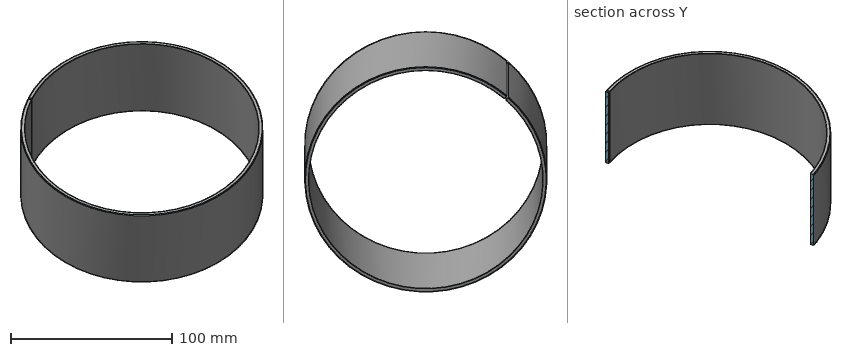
import cadquery as cq

OUTER_DIAMETER = 150.0
WALL_THICKNESS = 2.5
LENGTH = 60.0
OUTER_CHAMFER = 0.5
INNER_CHAMFER = 0.2
SPLIT_ANGLE = 1.0

OUTER_RADIUS = OUTER_DIAMETER / 2
INNER_RADIUS = OUTER_RADIUS - WALL_THICKNESS


def wall_section():
    """Wall cross-section on the -X side, in the XZ plane, with all four corners chamfered."""
    return (
        cq.Workplane("XZ")
        .moveTo(-OUTER_RADIUS, OUTER_CHAMFER)
        .lineTo(-OUTER_RADIUS, LENGTH - OUTER_CHAMFER)
        .lineTo(-OUTER_RADIUS + OUTER_CHAMFER, LENGTH)
        .lineTo(-INNER_RADIUS - INNER_CHAMFER, LENGTH)
        .lineTo(-INNER_RADIUS, LENGTH - INNER_CHAMFER)
        .lineTo(-INNER_RADIUS, INNER_CHAMFER)
        .lineTo(-INNER_RADIUS - INNER_CHAMFER, 0)
        .lineTo(-OUTER_RADIUS + OUTER_CHAMFER, 0)
        .close()
    )


result = wall_section().revolve(360 - SPLIT_ANGLE, (0, 0), (0, 1))